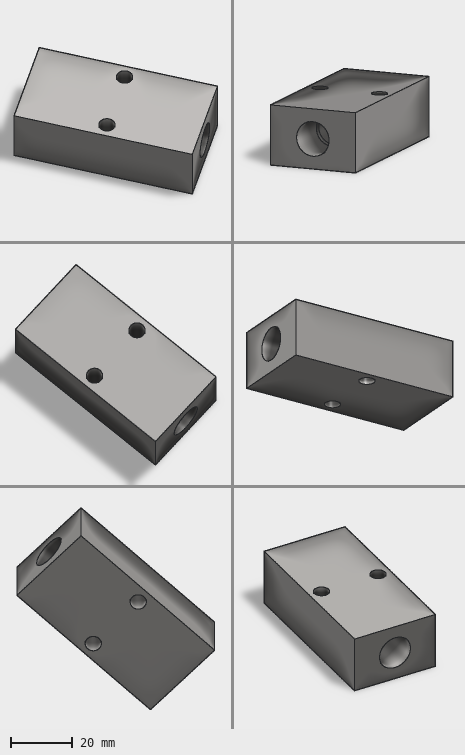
import cadquery as cq
import math

length = 60.0
width = 30.0
height = 20.0

bore_diameter = 10.0
port_diameter = 11.45
port_depth = 16.0
port_tip_angle = 118.0
port_tip_length = (port_diameter - bore_diameter) / 2 / math.tan(math.radians(port_tip_angle / 2))

mount_diameter = 5.2
mount_spacing = 21.0


def make_block():
    return cq.Workplane("XY").box(length, width, height)


def make_bore():
    """Revolve the bore about X: narrow in the middle, with a cone-floored port at both ends."""
    end = length / 2
    port_floor = end - port_depth
    narrow_end = port_floor - port_tip_length
    bore_radius = bore_diameter / 2
    port_radius = port_diameter / 2
    profile = [
        (-end, 0),
        (-end, port_radius),
        (-port_floor, port_radius),
        (-narrow_end, bore_radius),
        (narrow_end, bore_radius),
        (port_floor, port_radius),
        (end, port_radius),
        (end, 0),
    ]
    return cq.Workplane("XY").polyline(profile).close().revolve(360, (0, 0), (1, 0))


def make_mounting_holes():
    """Two through holes, one on each side of the bore."""
    half_spacing = mount_spacing / 2
    return (
        cq.Workplane("XY")
        .pushPoints([(0, -half_spacing), (0, half_spacing)])
        .circle(mount_diameter / 2)
        .extrude(height / 2, both=True)
    )


result = make_block().cut(make_bore()).cut(make_mounting_holes())